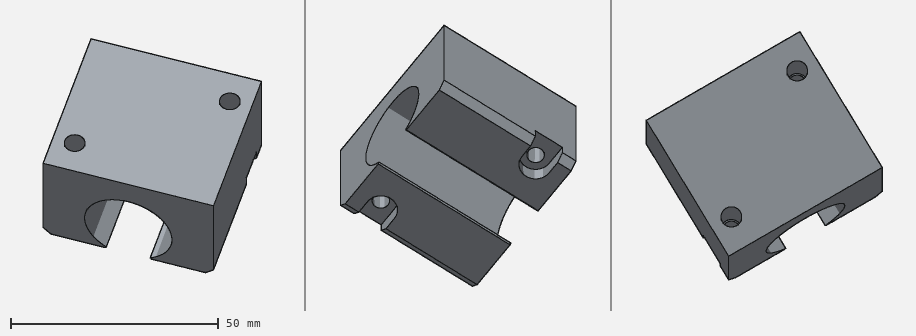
import cadquery as cq

length_x = 43.0
length_y = 39.0
height = 28.0
edge_chamfer = 1.98

bore_diameter = 22.0
bore_radius = bore_diameter / 2
bore_height = 9.98
mouth_half_width = bore_radius / 2
mouth_flare = 0.35
mouth_height = bore_height - (bore_radius**2 - mouth_half_width**2) ** 0.5

hole_x = 16.0
hole_y = 11.5
through_diameter = 4.2
upper_diameter = 5.0
pocket_diameter = 8.0
pocket_height = 4.5
upper_depth = height / 2


def make_block():
    block = cq.Workplane("XY").box(length_x, length_y, height, centered=(True, True, False))
    return block.faces("<Z").edges("|Y").chamfer(edge_chamfer)


def make_bore():
    """Closed bore profile with a mouth that flares out at the bottom face."""
    outer_half_width = mouth_half_width + mouth_flare
    return (
        cq.Workplane("XZ")
        .moveTo(-outer_half_width, 0)
        .lineTo(-mouth_half_width, mouth_height)
        .threePointArc((0, bore_height + bore_radius), (mouth_half_width, mouth_height))
        .lineTo(outer_half_width, 0)
        .close()
        .extrude(length_y / 2, both=True)
    )


def make_mounting_hole(side):
    """Stepped hole and head pocket; side is -1 or +1 along X and Y."""
    x = side * hole_x
    y = side * hole_y
    through = cq.Workplane("XY").center(x, y).circle(through_diameter / 2).extrude(height)
    upper = (
        cq.Workplane("XY", origin=(x, y, height))
        .circle(upper_diameter / 2)
        .extrude(-upper_depth)
    )
    pocket = cq.Workplane("XY").center(x, y).circle(pocket_diameter / 2).extrude(pocket_height)
    reach = length_x / 2 - hole_x
    pocket_exit = (
        cq.Workplane("XY")
        .center(x + side * reach / 2, y)
        .rect(reach, pocket_diameter)
        .extrude(pocket_height)
    )
    return through.union(upper).union(pocket).union(pocket_exit)


result = make_block().cut(make_bore())
for corner_side in (-1, 1):
    result = result.cut(make_mounting_hole(corner_side))